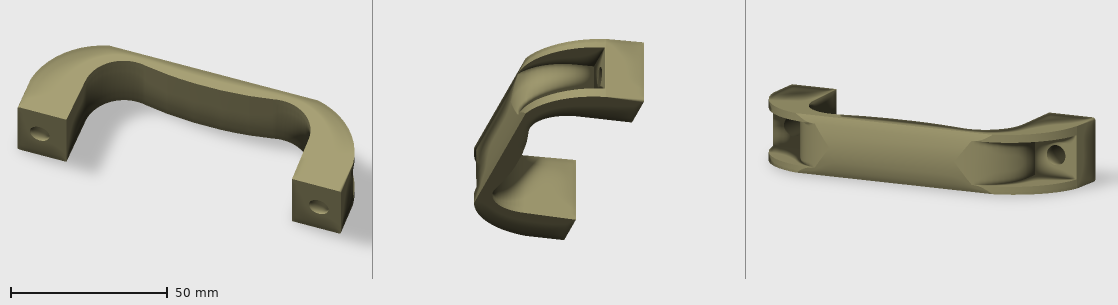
import cadquery as cq
import math

length = 109.0
half_length = length / 2
depth = 36.0
height = 21.0

foot_straight = 12.5
outer_radius = 26.0
outer_centre_x = 28.55
outer_centre_y = 9.0
foot_edge_angle = math.asin((foot_straight - outer_centre_y) / outer_radius)
foot_edge_x = outer_centre_x + outer_radius * math.cos(foot_edge_angle)

inner_foot_x = 38.0
inner_bend_x = 24.6
inner_bend_y = 17.3
inner_bend_radius = 13.0
bend_end_x = 21.4
ramp_end_x = 13.8
ramp_end_y = 28.7
swell_y = 27.9

grip_height = 19.4
crown_edge_y = 34.15

hole_diameter = 6.6
hole_spacing = 94.0
slot_width = 14.4
slot_floor_y = 12.8
slot_bend_x = 22.3
slot_bend_y = 18.9
slot_bend_radius = depth - slot_bend_y

corner_radius = 0.75
corner_run_out_radius = 0.05

overshoot = 5.0


def inner_arc_point(angle):
    """Point of the left inner bend, angle in radians from +X."""
    return (
        -inner_bend_x + inner_bend_radius * math.cos(angle),
        inner_bend_y + inner_bend_radius * math.sin(angle),
    )


def mirrored(point):
    """Point on the opposite side of the YZ symmetry plane."""
    return (-point[0], point[1])


def side_profile():
    """Handle outline in the XY plane, extruded over the full height."""
    mid_angle = (foot_edge_angle + math.pi / 2) / 2
    outer_start = (-foot_edge_x, foot_straight)
    outer_mid = (
        -outer_centre_x - outer_radius * math.cos(mid_angle),
        outer_centre_y + outer_radius * math.sin(mid_angle),
    )
    outer_top = (-outer_centre_x, outer_centre_y + outer_radius)
    shoulder = (-outer_centre_x, depth)

    end_angle = math.acos((inner_bend_x - bend_end_x) / inner_bend_radius)
    bend_start = inner_arc_point(math.pi)
    bend_mid = inner_arc_point((math.pi + end_angle) / 2)
    bend_end = inner_arc_point(end_angle)
    ramp_end = (-ramp_end_x, ramp_end_y)

    return (
        cq.Workplane("XY")
        .moveTo(-half_length, 0)
        .lineTo(*outer_start)
        .threePointArc(outer_mid, outer_top)
        .lineTo(*shoulder)
        .lineTo(*mirrored(shoulder))
        .lineTo(*mirrored(outer_top))
        .threePointArc(mirrored(outer_mid), mirrored(outer_start))
        .lineTo(half_length, 0)
        .lineTo(inner_foot_x, 0)
        .lineTo(*mirrored(bend_start))
        .threePointArc(mirrored(bend_mid), mirrored(bend_end))
        .lineTo(*mirrored(ramp_end))
        .threePointArc((0, swell_y), ramp_end)
        .lineTo(*bend_end)
        .threePointArc(bend_mid, bend_start)
        .lineTo(-inner_foot_x, 0)
        .close()
        .extrude(height / 2, both=True)
    )


def cross_section():
    """Drafted section with a crowned back, extruded along the whole grip."""
    return (
        cq.Workplane("YZ")
        .moveTo(0, -height / 2)
        .lineTo(crown_edge_y, -grip_height / 2)
        .threePointArc((depth, 0), (crown_edge_y, grip_height / 2))
        .lineTo(0, height / 2)
        .close()
        .extrude(half_length, both=True)
    )


def screw_hole():
    """Hole along Y through the left foot, from the mounting face into the slot."""
    return (
        cq.Workplane("XZ")
        .center(-hole_spacing / 2, 0)
        .circle(hole_diameter / 2)
        .extrude(-depth)
    )


def access_slot():
    """Slot open to the outside of the bend, with a wall curved like the bend."""
    wall_x = -slot_bend_x - slot_bend_radius
    diagonal = slot_bend_radius * math.sqrt(0.5)
    outside_x = -half_length - overshoot
    return (
        cq.Workplane("XY")
        .moveTo(outside_x, slot_floor_y)
        .lineTo(wall_x, slot_floor_y)
        .lineTo(wall_x, slot_bend_y)
        .threePointArc((-slot_bend_x - diagonal, slot_bend_y + diagonal), (-slot_bend_x, depth))
        .lineTo(-slot_bend_x, depth + overshoot)
        .lineTo(outside_x, depth + overshoot)
        .close()
        .extrude(slot_width / 2, both=True)
    )


def corner_outline(plane, corner_x, corner_z, radius):
    """Area between a sharp outer corner and its rounding, on an XZ workplane."""
    inset = radius * (1 - math.sqrt(0.5))
    return (
        plane.moveTo(-corner_x, corner_z - radius)
        .threePointArc((-corner_x + inset, corner_z - inset), (-corner_x + radius, corner_z))
        .lineTo(-corner_x, corner_z)
        .close()
    )


def corner_rounding():
    """Cutter for one upper outer foot corner, its radius shrinking away from the base."""
    half_height = height / 2
    draft = (height - grip_height) / 2 / crown_edge_y
    base = corner_outline(cq.Workplane("XZ"), half_length, half_height, corner_radius)
    tip = corner_outline(
        base.workplane(offset=-foot_straight),
        foot_edge_x,
        half_height - draft * foot_straight,
        corner_run_out_radius,
    )
    return tip.loft(ruled=True)


result = side_profile().intersect(cross_section())
end_cuts = [
    screw_hole(),
    access_slot(),
    corner_rounding(),
    corner_rounding().mirror("XY"),
]
for end_cut in end_cuts:
    result = result.cut(end_cut).cut(end_cut.mirror("YZ"))